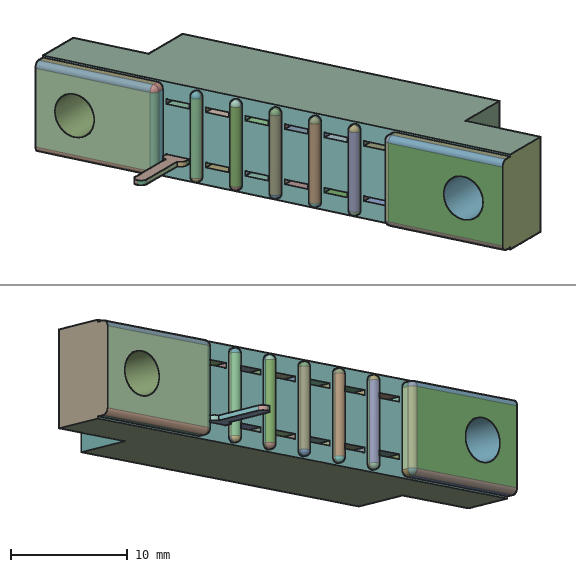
import cadquery as cq

length = 46.8
height = 8.7
flange_depth = 5.05
block_depth = 10.7
block_length = 31.72

pad_length = 12.03
pad_rise = 1.25
front_inset = 0.2
pad_round = 0.55

hole_diameter = 3.95
hole_spacing = 38.95

contact_count = 6
contact_row_length = 19.8
pitch = contact_row_length / (contact_count - 1)
row_spacing = 5.05
slot_width = 2.3
slot_height = 0.445

rib_width = 1.05
rib_radius = rib_width / 2
rib_rise = 0.75
rib_height = height - 2 * front_inset

pin_reach = 6.7
shoulder_reach = 1.05
stem_width = 1.15
tip_round = 0.55
shoulder_round = (slot_width - stem_width) / 2


def centered(count):
    """X positions of a row of features at the contact pitch, centered on X = 0."""
    return [(i - (count - 1) / 2) * pitch for i in range(count)]


def make_body():
    """Flange with the longer central block behind its middle."""
    flange = cq.Workplane("XY").box(length, flange_depth, height, centered=(True, False, True))
    block = cq.Workplane("XY").box(block_length, block_depth, height, centered=(True, False, True))
    return flange.union(block)


def make_pad(side):
    """Mounting pad at one end (side = -1 or 1), rounded except on the outer end face."""
    pad_height = height - 2 * front_inset
    center_x = side * (length - pad_length) / 2
    pad = (
        cq.Workplane("XY")
        .box(pad_length, pad_rise, pad_height)
        .translate((center_x, -pad_rise / 2, 0))
    )
    inner_face = "<X" if side > 0 else ">X"
    pad = pad.faces(inner_face).edges("|Y").fillet(pad_round)
    outer_face = ">X" if side > 0 else "<X"
    front_edges = pad.faces("<Y").edges().vals()
    outer_edges = pad.faces(outer_face).edges("<Y").vals()
    rounded = [e for e in front_edges if not any(e.isSame(o) for o in outer_edges)]
    return pad.newObject(rounded).fillet(pad_round)


def make_rib(x):
    """Upright rib with a round front and domed ends."""
    base_rise = rib_rise - rib_radius
    straight = rib_height - rib_width
    base = cq.Workplane("XZ").slot2D(rib_height, rib_width, 90).extrude(base_rise)
    rod = cq.Workplane("XY").circle(rib_radius).extrude(straight / 2, both=True)
    rib = rod.translate((0, -base_rise, 0)).union(base)
    for z in (-straight / 2, straight / 2):
        rib = rib.union(cq.Workplane("XY").sphere(rib_radius).translate((0, -base_rise, z)))
    return rib.translate((x, 0, 0))


def make_slots():
    """Cutter for both rows of contact slots, straight through the central block."""
    points = [(x, z) for x in centered(contact_count) for z in (-row_spacing / 2, row_spacing / 2)]
    return cq.Workplane("XZ").pushPoints(points).rect(slot_width, slot_height).extrude(-block_depth)


def make_holes():
    """Cutter for the two mounting holes, through pads and flange."""
    return (
        cq.Workplane("XZ", origin=(0, -pad_rise, 0))
        .pushPoints([(-hole_spacing / 2, 0), (hole_spacing / 2, 0)])
        .circle(hole_diameter / 2)
        .extrude(-(pad_rise + flange_depth))
    )


def make_housing():
    housing = make_body()
    for side in (-1, 1):
        housing = housing.union(make_pad(side))
    for x in centered(contact_count - 1):
        housing = housing.union(make_rib(x))
    return housing.cut(make_slots()).cut(make_holes())


def make_pin():
    """Flat contact filling the first lower slot, with round shoulders and a narrow stem."""
    x = centered(contact_count)[0]
    bottom = -row_spacing / 2 - slot_height / 2
    blade = (
        cq.Workplane("XY")
        .box(slot_width, block_depth + shoulder_reach, slot_height, centered=(True, False, False))
        .translate((0, -shoulder_reach, 0))
        .faces("<Y").edges("|Z").fillet(shoulder_round)
    )
    stem = (
        cq.Workplane("XY")
        .box(stem_width, pin_reach, slot_height, centered=(True, False, False))
        .translate((0, -pin_reach, 0))
        .faces("<Y").edges("|Z").fillet(tip_round)
    )
    return blade.union(stem).translate((x, 0, bottom))


housing = make_housing()
pin = make_pin()

result = cq.Compound.makeCompound([housing.val(), pin.val()])